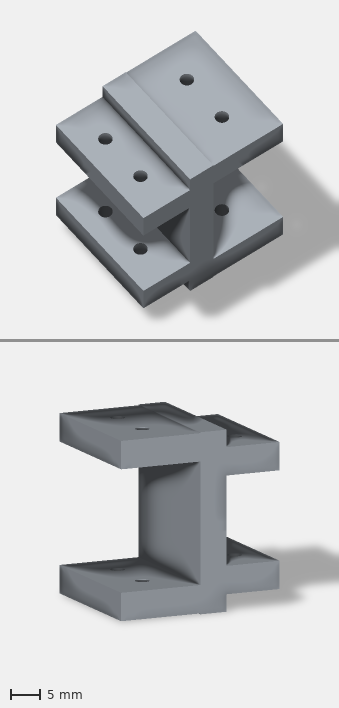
import cadquery as cq

width = 25.02
height = 32.0
plate_thickness = 5.0

front_reach = 10.0
rear_reach = 15.0
front_inset = 3.07
rear_inset = 0.15

hole_diameter = 2.5
hole_spacing = 10.0

web_front = front_reach
web_rear = web_front + plate_thickness


def block(y_start, length, z_bottom, block_height):
    """Full-width block starting at the given Y and Z."""
    return (
        cq.Workplane("XY")
        .box(width, length, block_height, centered=(True, False, False))
        .translate((0, y_start, z_bottom))
    )


def flange_pair(y_start, reach, inset):
    """Matching upper and lower flanges with vertical through holes."""
    top_of_upper = height / 2 - inset
    lower = block(y_start, reach, -top_of_upper, plate_thickness)
    upper = block(y_start, reach, top_of_upper - plate_thickness, plate_thickness)
    hole_y = y_start + reach / 2
    holes = (
        cq.Workplane("XY", origin=(0, 0, -height / 2))
        .pushPoints([(-hole_spacing / 2, hole_y), (hole_spacing / 2, hole_y)])
        .circle(hole_diameter / 2)
        .extrude(height)
    )
    return lower.union(upper).cut(holes)


web = block(web_front, plate_thickness, -height / 2, height)
front_flanges = flange_pair(0, front_reach, front_inset)
rear_flanges = flange_pair(web_rear, rear_reach, rear_inset)

result = web.union(front_flanges).union(rear_flanges)